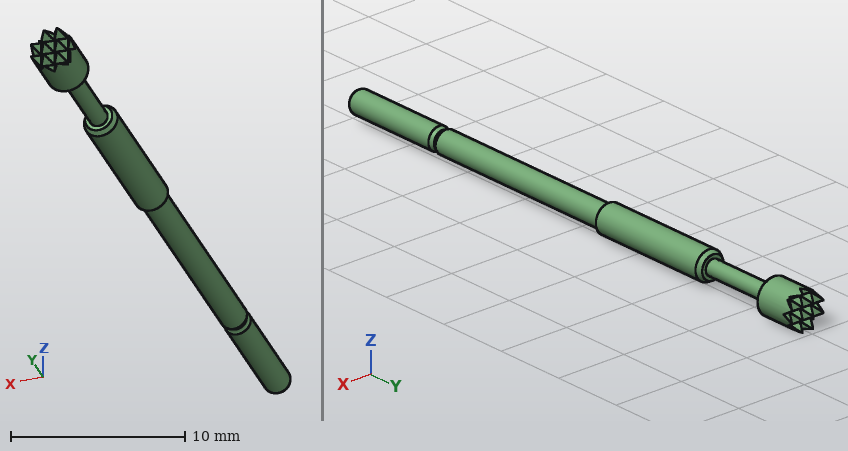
import cadquery as cq
import math

total_length = 39.3

tail_diameter = 1.6
tail_end_radius = 0.4

groove_start = 7.15
groove_bottom = 7.5
groove_end = 7.8
groove_depth = 0.1

collar_start = 21.95
collar_end = 31.0
collar_diameter = 2.05
collar_chamfer_length = 0.35
collar_chamfer_depth = 0.2

stem_diameter = 1.1

head_diameter = 2.5
head_length = 3.0
serration_ridge_span = 2.45
serration_groove_count = 3
serration_angle = 60.0
serration_pitch = serration_ridge_span / serration_groove_count
serration_depth = serration_pitch / 2 / math.tan(math.radians(serration_angle / 2))


def cylinder(diameter, start, end):
    """Solid cylinder on the Y axis between two Y positions."""
    workplane = cq.Workplane("XZ", origin=(0, start, 0))
    return workplane.circle(diameter / 2).extrude(start - end)


def make_tail():
    """Long rounded tube with a ring groove that has one conical and one hollow flank."""
    tail = cylinder(tail_diameter, 0, collar_start).faces("<Y").edges().fillet(tail_end_radius)
    radius = tail_diameter / 2
    arc_length = groove_bottom - groove_start
    arc_radius = (arc_length**2 + groove_depth**2) / (2 * groove_depth)
    half_angle = math.asin(arc_length / arc_radius) / 2
    arc_middle = (
        radius - groove_depth + arc_radius * (1 - math.cos(half_angle)),
        groove_bottom - arc_radius * math.sin(half_angle),
    )
    groove = (
        cq.Workplane("XY")
        .moveTo(radius, groove_end)
        .lineTo(radius - groove_depth, groove_bottom)
        .threePointArc(arc_middle, (radius, groove_start))
        .close()
        .revolve(360, (0, 0, 0), (0, 1, 0))
    )
    return tail.cut(groove)


def make_collar():
    """Thicker sleeve with a chamfered shoulder facing the head."""
    collar = cylinder(collar_diameter, collar_start, collar_end)
    return collar.faces(">Y").chamfer(collar_chamfer_length, collar_chamfer_depth)


def make_head():
    """Cylindrical head whose end is cut into pyramids by two crossing sets of V grooves."""
    head = cylinder(head_diameter, total_length - head_length, total_length)
    half_pitch = serration_pitch / 2
    v_groove = (
        cq.Workplane("XY")
        .moveTo(-half_pitch, total_length)
        .lineTo(0, total_length - serration_depth)
        .lineTo(half_pitch, total_length)
        .close()
        .extrude(head_diameter / 2, both=True)
    )
    for index in range(serration_groove_count):
        offset = (index - (serration_groove_count - 1) / 2) * serration_pitch
        groove_along_z = v_groove.translate((offset, 0, 0))
        groove_along_x = groove_along_z.rotate((0, 0, 0), (0, 1, 0), 90)
        head = head.cut(groove_along_z).cut(groove_along_x)
    return head


stem = cylinder(stem_diameter, collar_end, total_length - head_length)
result = make_tail().union(make_collar()).union(stem).union(make_head())